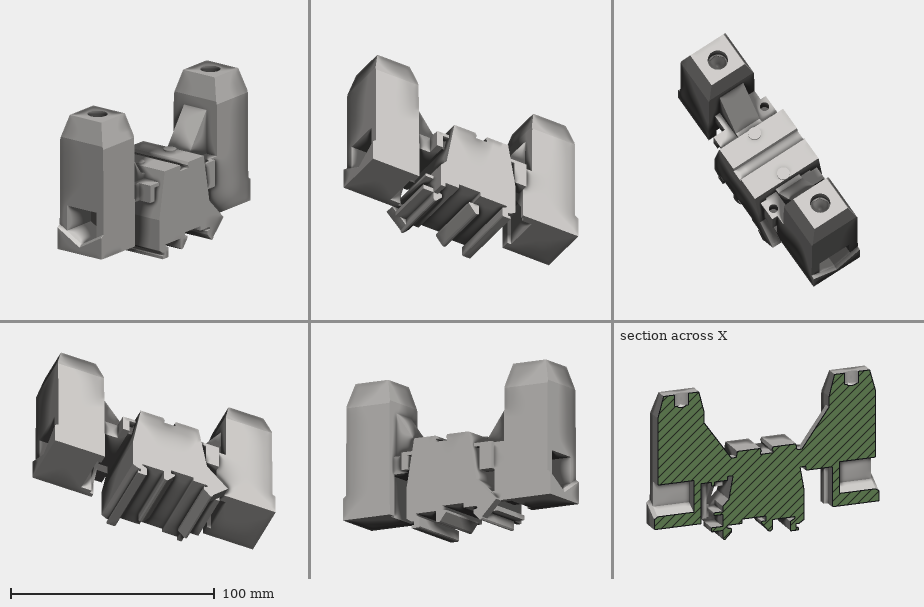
import cadquery as cq
import math


total_length = 118.7
total_height = 78.6
housing_width = 37.7
half_length = total_length / 2
half_width = housing_width / 2

housing_top = 45.1
housing_top_half = 15.5
foot_shoulder_y = 20.1
foot_shoulder_z = 20.7
hook_face_y = 23.3
rail_seat_z = 7.1
recess_z = 9.4
pawl_recess_y = 0.6
recess_end_y = 12.8
foot_inner_y = 20.8
foot_bottom = 4.7
groove_floor_z = 42.0
groove_undercut_z = 43.1
groove_neck_z = 43.6
groove_half = 3.2
groove_neck = 2.6
groove_mouth = 3.3
button_radius = 3.2
button_height = 0.7
button_y = 12.6

foot_inner_x = 13.8
foot_edge_y = 31.3
seat_radius = 2.1
seat_depth = 0.2
seat_x = (foot_inner_x + half_width) / 2
seat_y = 28.7

clip_start_x = -12.0
clip_bar_end_y = 27.9
clip_bar_bottom = 13.0
clip_bar_thickness = 1.7
clip_block_end_y = 29.2

tower_bottom = 9.7
tower_half_base = 13.8
tower_half_shoulder = 13.4
tower_half_top = 9.9
tower_side_shoulder_z = 66.0
tower_end_shoulder_z = 67.4
tower_inner_base_y = 32.5
tower_inner_y = 32.9
cap_inner_y = 35.7
cap_outer_y = 54.5
lip_reach = 1.8
lip_drop = 1.3
tower_outer_y = half_length - lip_reach

recess_start_x = -9.1
recess_back_y = 34.7

entry_half_width = 9.1
entry_top = 32.6
entry_depth = 19.0
vee_bottom = 14.5
vee_edge_z = 22.1

screw_y = 44.9
screw_radius = 5.0
screw_depth = 5.9
hex_flats = 8.2
hex_depth = 3.6
hex_diameter = hex_flats / math.cos(math.pi / 6)
negative_end_hex_turn = 12.0

plate_top = 39.4
plate_bottom = 37.6
plate_end_y = 17.3
block_bottom = 30.5
block_end_y = 24.1
block_start_x = -9.9
ear_half_width = 16.6
ear_end_y = 20.7
tongue_half_width = 13.0
tongue_bottom = 32.5
tower_overlap = 1.2
inside_housing_y = 14.2
long_ear_bottom = 25.8
wall_end_y = 27.4
wall_inner_x = 9.9
wall_edge_y = 29.2
gusset_foot_z = 16.5
gusset_run = 9.5
ear_hole_radius = 2.3
ear_hole_depth = 7.1
ear_hole_x = 13.0
ear_hole_y = 23.1
web_half_width = 7.0
web_top_z = 62.0
web_toe_y = 18.6


def box(x0, x1, y0, y1, z0, z1):
    """Axis-aligned block between two opposite corners."""
    return cq.Workplane("XY").box(x1 - x0, y1 - y0, z1 - z0, centered=False).translate((x0, y0, z0))


def prism_x(points, x0, x1):
    """Prism along X from a (y, z) outline."""
    return cq.Workplane("YZ", origin=(x0, 0, 0)).polyline(points).close().extrude(x1 - x0)


def prism_y(points, y0, y1):
    """Prism along Y from an (x, z) outline."""
    return cq.Workplane("XZ", origin=(0, y0, 0)).polyline(points).close().extrude(y0 - y1)


def make_housing():
    top_and_groove = [
        (housing_top_half, housing_top), (groove_mouth, housing_top),
        (groove_neck, groove_neck_z), (groove_half, groove_undercut_z),
        (groove_half, groove_floor_z), (-groove_half, groove_floor_z),
        (-groove_half, groove_undercut_z), (-groove_neck, groove_neck_z),
        (-groove_mouth, housing_top), (-housing_top_half, housing_top),
    ]
    fixed_claw = [
        (-19.8, 20.9), (-19.8, 5.1), (-17.0, 3.3), (-15.5, 3.3), (-15.5, 1.5), (-17.0, 1.5),
        (-17.0, 0), (-12.8, 0), (-12.3, 0.5), (-12.3, 5.1), (-14.7, 6.4), (-14.7, rail_seat_z),
    ]
    seat_recess = [
        (pawl_recess_y, rail_seat_z), (pawl_recess_y, recess_z),
        (recess_end_y, recess_z), (recess_end_y, rail_seat_z),
    ]
    foot = [
        (foot_inner_y, rail_seat_z), (foot_inner_y, foot_bottom), (hook_face_y, foot_bottom),
        (hook_face_y, foot_shoulder_z + foot_shoulder_y - hook_face_y),
        (foot_shoulder_y, foot_shoulder_z),
    ]
    outline = top_and_groove + fixed_claw + seat_recess + foot
    housing = prism_x(outline, -half_width, half_width)

    middle_pawl = [
        (-3.1, recess_z), (-3.1, 2.1), (-2.4, 1.4), (-1.3, 1.3), (-0.6, 1.9), (2.7, 6.0),
        (2.7, rail_seat_z), (pawl_recess_y, rail_seat_z), (pawl_recess_y, recess_z),
    ]
    rail_hook = [
        (foot_inner_y, rail_seat_z), (foot_inner_y, 5.9), (18.4, 5.3), (18.4, 3.6), (22.0, 0), (22.8, 0),
        (hook_face_y, 0.8), (hook_face_y, rail_seat_z),
    ]
    for outline in (middle_pawl, rail_hook):
        housing = housing.union(prism_x(outline, clip_start_x, half_width))
    for y in (-button_y, button_y):
        button = cq.Workplane("XY", origin=(0, y, housing_top)).circle(button_radius).extrude(button_height)
        housing = housing.union(button)
    return housing


def make_foot_extension():
    foot_edge_z = foot_shoulder_z + foot_shoulder_y - foot_edge_y
    foot = prism_x(
        [
            (foot_shoulder_y, foot_shoulder_z),
            (foot_edge_y, foot_edge_z),
            (hook_face_y, foot_edge_z - (foot_edge_y - hook_face_y)),
            (foot_shoulder_y, rail_seat_z),
        ],
        foot_inner_x,
        half_width,
    )
    seat_z = foot_shoulder_z + foot_shoulder_y - seat_y
    slope = cq.Plane(origin=(seat_x, seat_y, seat_z), xDir=(1, 0, 0), normal=(0, 1, 1))
    return foot.cut(cq.Workplane(slope).circle(seat_radius).extrude(-seat_depth))


def make_clip():
    bar = box(clip_start_x, foot_inner_x, foot_inner_y, clip_bar_end_y,
              clip_bar_bottom, clip_bar_bottom + clip_bar_thickness)
    bar = bar.edges("|X and >Y").fillet(clip_bar_thickness / 4)
    block = box(clip_start_x, foot_inner_x, foot_inner_y, clip_block_end_y, foot_bottom, rail_seat_z)
    return bar.union(block)


def vee_height(x):
    """Height of the vee on the outer tower face at distance x from the middle."""
    return vee_bottom + (vee_edge_z - vee_bottom) * abs(x) / tower_half_shoulder


def tower_envelope(y0, y1):
    """Drafted end profile of the tower, run along Y."""
    end_outline = [
        (-tower_half_base, tower_bottom), (tower_half_base, tower_bottom),
        (tower_half_shoulder, tower_side_shoulder_z), (tower_half_top, total_height),
        (-tower_half_top, total_height), (-tower_half_shoulder, tower_side_shoulder_z),
    ]
    return prism_y(end_outline, y0, y1)


def make_tower():
    side_outline = [
        (tower_inner_base_y, tower_bottom), (half_length, tower_bottom),
        (half_length, vee_edge_z - lip_drop), (tower_outer_y, vee_edge_z),
        (tower_outer_y, tower_end_shoulder_z), (cap_outer_y, total_height),
        (cap_inner_y, total_height), (tower_inner_y, tower_end_shoulder_z),
    ]
    tower = prism_x(side_outline, -tower_half_base, tower_half_base)
    tower = tower.intersect(tower_envelope(tower_inner_base_y, half_length))

    edge = tower_half_base
    above_vee = cq.Wire.makePolygon(
        [
            cq.Vector(x, tower_outer_y, z)
            for x, z in ((-edge, vee_height(edge)), (0, vee_bottom), (edge, vee_height(edge)),
                         (edge, entry_top), (-edge, entry_top))
        ],
        close=True,
    )
    tower = tower.cut(cq.Workplane(cq.Solid.extrudeLinear(above_vee, [], cq.Vector(0, lip_reach, -lip_drop))))

    entry_outline = [
        (-entry_half_width, entry_top), (-entry_half_width, vee_height(entry_half_width)),
        (0, vee_bottom), (entry_half_width, vee_height(entry_half_width)), (entry_half_width, entry_top),
    ]
    tower = tower.cut(prism_y(entry_outline, tower_outer_y - entry_depth, tower_outer_y))

    recess = box(recess_start_x, wall_inner_x, tower_inner_base_y, recess_back_y, tower_bottom, block_bottom)
    return tower.cut(recess)


def make_screw_access(hex_turn):
    """Round access hole with a hexagonal, cone-bottomed socket below it."""
    hole = cq.Workplane("XY", origin=(0, screw_y, total_height)).circle(screw_radius).extrude(-screw_depth)
    socket_top = total_height - screw_depth
    socket = cq.Workplane("XY", origin=(0, screw_y, socket_top))
    socket = socket.transformed(rotate=(0, 0, hex_turn)).polygon(6, hex_diameter).extrude(-hex_depth)
    cone = cq.Solid.makeCone(
        hex_diameter / 2, 0, hex_depth, pnt=cq.Vector(0, screw_y, socket_top), dir=cq.Vector(0, 0, -1)
    )
    return hole.union(socket.intersect(cq.Workplane(cone)))


def make_bracket():
    tower_y = tower_inner_y + tower_overlap
    block = box(block_start_x, wall_inner_x, ear_end_y, tower_y, block_bottom, plate_top)
    plain_ear = box(-ear_half_width, block_start_x, ear_end_y, block_end_y, block_bottom, plate_top)
    long_ear = box(wall_inner_x, ear_half_width, ear_end_y, wall_end_y, long_ear_bottom, plate_top)
    plate = box(-ear_half_width, ear_half_width, plate_end_y, ear_end_y, plate_bottom, plate_top)
    tongue = box(-tongue_half_width, tongue_half_width, inside_housing_y, ear_end_y, tongue_bottom, plate_top)
    wall = box(wall_inner_x, tower_half_base, wall_end_y, tower_y, tower_bottom, plate_top)
    wall = wall.intersect(tower_envelope(wall_end_y, tower_y))

    edge_x = (wall_inner_x + tower_half_shoulder) / 2
    wall = wall.cut(box(wall_inner_x, edge_x, wall_end_y, wall_edge_y, tower_bottom, block_bottom))
    gusset = prism_y(
        [(edge_x, gusset_foot_z), (edge_x, block_bottom), (edge_x - gusset_run, block_bottom)],
        wall_end_y,
        wall_edge_y,
    )
    web = prism_x(
        [
            (tower_y, plate_top), (tower_y, web_top_z), (tower_inner_y, web_top_z),
            (web_toe_y, groove_floor_z), (inside_housing_y, groove_floor_z), (inside_housing_y, plate_top),
        ],
        -web_half_width,
        web_half_width,
    )
    bracket = block
    for piece in (plain_ear, long_ear, plate, tongue, wall, gusset, web):
        bracket = bracket.union(piece)
    ear_hole = cq.Workplane("XY", origin=(ear_hole_x, ear_hole_y, plate_top))
    return bracket.cut(ear_hole.circle(ear_hole_radius).extrude(-ear_hole_depth))


def make_module(hex_turn):
    return make_tower().union(make_bracket()).cut(make_screw_access(hex_turn))


result = make_housing().union(make_foot_extension()).union(make_clip())
for turn, hex_turn in ((0, 0), (180, negative_end_hex_turn)):
    module = make_module(hex_turn).rotate((0, 0, 0), (0, 0, 1), turn)
    result = result.union(module)